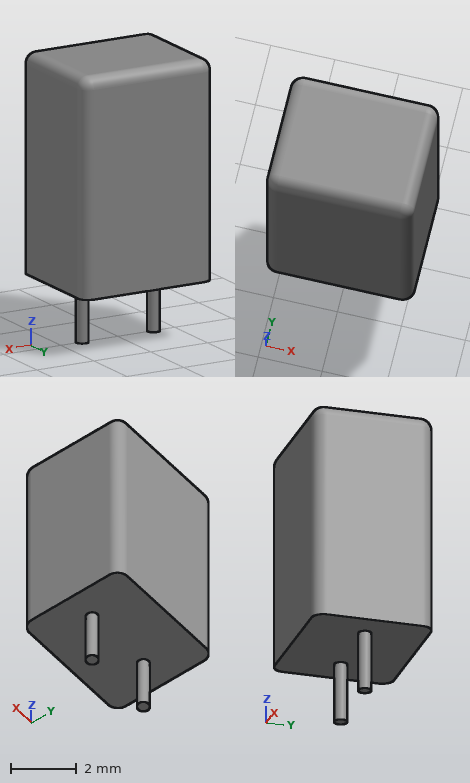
import cadquery as cq

body_length = 4.6
body_width = 3.8
body_height = 7.0
edge_radius = body_width / 10

lead_diameter = 0.4
lead_pitch = 2.5
lead_length = 1.9


def make_body():
    """Box standing on Z = 0, rounded on all edges except the bottom rim."""
    box = cq.Workplane("XY").box(body_length, body_width, body_height, centered=(True, True, False))
    return box.edges("|Z or >Z").fillet(edge_radius)


def make_leads():
    """Two straight leads hanging from the underside, spaced along X."""
    lead_centres = [(-lead_pitch / 2, 0), (lead_pitch / 2, 0)]
    return cq.Workplane("XY").pushPoints(lead_centres).circle(lead_diameter / 2).extrude(-lead_length)


result = make_body().union(make_leads())